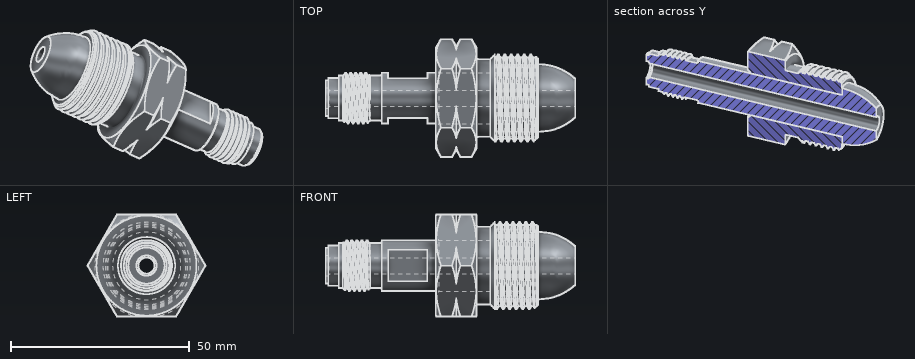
import cadquery as cq
import math


total_length = 69.85
tip_radius = 5.05
tip_length = 0.75
pilot_radius = 5.66
pilot_end = 3.68
core_radius = 6.32
outlet_thread_start = 4.84
outlet_thread_end = 12.45
outlet_thread_pitch = 25.4 / 18
outlet_crest_x = 5.95

stem_radius = 9 / 16 * 25.4 / 2
stem_start = 15.7
relief_fillet = 0.45
flat_start = 17.5
flat_end = 28.45
flat_offset = 5.6
mouth_radius = 2.85
mouth_depth = 0.6
bore_radius = 2.25
drill_half_angle = 59
mouth_floor_depth = (mouth_radius - bore_radius) / math.tan(math.radians(drill_half_angle))

nose_radius = 9.52
nose_tip_radius = 5.38

hex_across_flats = 28.575
hex_corner_radius = hex_across_flats / math.sqrt(3)
hex_start = 30.8
hex_end = 42.25
hex_chamfer_radius = 14.0
hex_groove_radius = 14.48
hex_bevel_slope = math.tan(math.radians(30))
neck_radius = 10.9
neck_fillet = 0.35
nut_core_radius = 11.4
nut_thread_radius = 12.2
collar_start = 46.05
collar_end = collar_start + nut_thread_radius - neck_radius
nut_thread_start = 46.6
nut_end = 59.4
nut_end_chamfer = 0.4
nut_thread_end = 58.92
nut_thread_pitch = 25.4 / 14
nut_crest_x = 48.75
countersink_radius = 8.0
countersink_depth = countersink_radius - stem_radius

flank_slope = math.tan(math.radians(30))
crest_width_ratio = 1 / 8
root_overlap = 0.15
crest_clearance = 0.2

arc_inset = 1 - math.sqrt(0.5)


def spin(outline):
    """Revolve a closed outline, drawn as (x, radius), around the X axis."""
    return outline.close().revolve(360, (0, 0, 0), (1, 0, 0))


def thread(start, end, pitch, minor, major, crest_x):
    """Right-hand helical ridge between start and end, its ends bevelled at 45 degrees."""
    turns_before = math.ceil((crest_x - start) / pitch) + 1
    helix_start = crest_x - turns_before * pitch
    turns = math.ceil((end - helix_start) / pitch) + 1
    foot = minor - root_overlap
    crest_half = pitch * crest_width_ratio / 2
    foot_half = crest_half + (major - foot) * flank_slope

    helix = cq.Wire.makeHelix(pitch, turns * pitch, minor)
    ridge = (
        cq.Workplane("XZ")
        .polyline([(foot, -foot_half), (major, -crest_half), (major, crest_half), (foot, foot_half)])
        .close()
        .sweep(cq.Workplane(helix), isFrenet=True)
        .rotate((0, 0, 0), (0, 0, 1), 180)
        .rotate((0, 0, 0), (0, 1, 0), 90)
        .translate((helix_start, 0, 0))
    )
    bevel = major - minor + crest_clearance
    limits = spin(
        cq.Workplane("XY")
        .moveTo(start, 0)
        .lineTo(start, minor)
        .lineTo(start + bevel, minor + bevel)
        .lineTo(end - bevel, minor + bevel)
        .lineTo(end, minor)
        .lineTo(end, 0)
    )
    return ridge.intersect(limits)


def make_nipple():
    """Hollow stem with an outlet thread at one end and a rounded nose at the other."""
    drop = nose_radius - nose_tip_radius
    nose_length = total_length - nut_end
    nose_arc = (nose_length**2 + drop**2) / (2 * drop)
    nose_half_angle = math.asin(nose_length / nose_arc) / 2
    nose_middle = (
        nut_end + nose_arc * math.sin(nose_half_angle),
        nose_radius - nose_arc * (1 - math.cos(nose_half_angle)),
    )
    relief_middle = (
        stem_start - relief_fillet * arc_inset,
        core_radius + relief_fillet * arc_inset,
    )
    body = spin(
        cq.Workplane("XY")
        .moveTo(0, mouth_radius)
        .lineTo(0, tip_radius)
        .lineTo(tip_length, tip_radius)
        .lineTo(tip_length, pilot_radius)
        .lineTo(pilot_end, pilot_radius)
        .lineTo(pilot_end, core_radius)
        .lineTo(stem_start - relief_fillet, core_radius)
        .threePointArc(relief_middle, (stem_start, core_radius + relief_fillet))
        .lineTo(stem_start, stem_radius)
        .lineTo(nut_end, stem_radius)
        .lineTo(nut_end, nose_radius)
        .threePointArc(nose_middle, (total_length, nose_tip_radius))
        .lineTo(total_length, bore_radius)
        .lineTo(mouth_depth + mouth_floor_depth, bore_radius)
        .lineTo(mouth_depth, mouth_radius)
    )
    body = body.cut(wrench_flats())
    return body.union(
        thread(
            outlet_thread_start,
            outlet_thread_end,
            outlet_thread_pitch,
            core_radius,
            stem_radius,
            outlet_crest_x,
        )
    )


def wrench_flats():
    """The two blocks of material removed from the -Y and +Y sides of the stem."""
    middle = (flat_start + flat_end) / 2
    block_offset = flat_offset + stem_radius / 2
    return (
        cq.Workplane("XY")
        .pushPoints([(middle, -block_offset), (middle, block_offset)])
        .box(flat_end - flat_start, stem_radius, 2 * stem_radius)
    )


def make_hex():
    """Hex with corners on Y, bevelled on both faces and V-grooved around its middle."""
    prism = (
        cq.Workplane("YZ", origin=(hex_start, 0, 0))
        .polygon(6, 2 * hex_corner_radius)
        .extrude(hex_end - hex_start)
    )
    middle = (hex_start + hex_end) / 2
    bevel = (hex_corner_radius - hex_chamfer_radius) * hex_bevel_slope
    groove_half = (hex_corner_radius - hex_groove_radius) * hex_bevel_slope
    envelope = spin(
        cq.Workplane("XY")
        .moveTo(hex_start, 0)
        .lineTo(hex_start, hex_chamfer_radius)
        .lineTo(hex_start + bevel, hex_corner_radius)
        .lineTo(middle - groove_half, hex_corner_radius)
        .lineTo(middle, hex_groove_radius)
        .lineTo(middle + groove_half, hex_corner_radius)
        .lineTo(hex_end - bevel, hex_corner_radius)
        .lineTo(hex_end, hex_chamfer_radius)
        .lineTo(hex_end, 0)
    )
    return prism.intersect(envelope)


def make_nut():
    """Hex and threaded shank, bored to slide over the stem and stop against the nose."""
    fillet_middle = (
        hex_end + neck_fillet * arc_inset,
        neck_radius + neck_fillet * arc_inset,
    )
    shank = spin(
        cq.Workplane("XY")
        .moveTo(hex_end, 0)
        .lineTo(hex_end, neck_radius + neck_fillet)
        .threePointArc(fillet_middle, (hex_end + neck_fillet, neck_radius))
        .lineTo(collar_start, neck_radius)
        .lineTo(collar_end, nut_thread_radius)
        .lineTo(collar_end, nut_core_radius)
        .lineTo(nut_end - nut_end_chamfer, nut_core_radius)
        .lineTo(nut_end, nut_core_radius - nut_end_chamfer)
        .lineTo(nut_end, 0)
    )
    bore = spin(
        cq.Workplane("XY")
        .moveTo(hex_start, 0)
        .lineTo(hex_start, countersink_radius)
        .lineTo(hex_start + countersink_depth, stem_radius)
        .lineTo(nut_end, stem_radius)
        .lineTo(nut_end, 0)
    )
    ridge = thread(
        nut_thread_start,
        nut_thread_end,
        nut_thread_pitch,
        nut_core_radius,
        nut_thread_radius,
        nut_crest_x,
    )
    return make_hex().union(shank).cut(bore).union(ridge)


nipple = make_nipple()
nut = make_nut()

result = cq.Compound.makeCompound([nipple.val(), nut.val()])